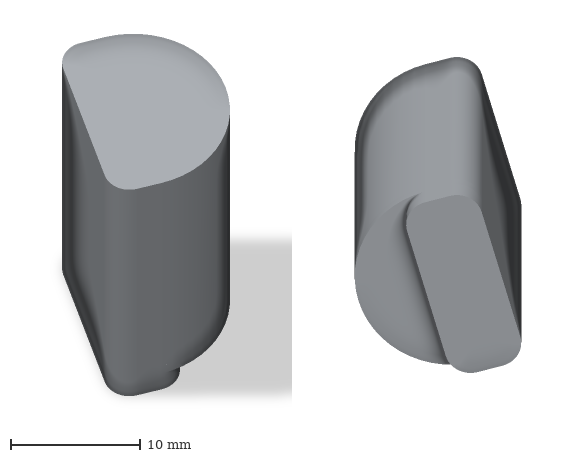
import cadquery as cq

total_height = 26.0
width = 15.0
depth = 11.5
corner_radius = 2.0

foot_height = 2.0
plate_thickness = 1.0
foot_depth = 6.0
housing_height = total_height - foot_height - plate_thickness

back_radius = width / 2
front_y = back_radius - depth


def d_shaped_prism(base_z, height):
    """Prism with a flat front, rounded front corners and a half-round back."""
    return (
        cq.Workplane("XY", origin=(0, 0, base_z))
        .moveTo(-back_radius, front_y)
        .lineTo(back_radius, front_y)
        .lineTo(back_radius, 0)
        .threePointArc((0, back_radius), (-back_radius, 0))
        .close()
        .extrude(height)
        .edges("|Z and <Y")
        .fillet(corner_radius)
    )


def make_foot():
    """Shallow block with four rounded corners, flush with the front face."""
    return (
        cq.Workplane("XY", origin=(0, front_y + foot_depth / 2, 0))
        .rect(width, foot_depth)
        .extrude(foot_height)
        .edges("|Z")
        .fillet(corner_radius)
    )


foot = make_foot()
plate = d_shaped_prism(foot_height, plate_thickness)
housing = d_shaped_prism(foot_height + plate_thickness, housing_height)

result = cq.Compound.makeCompound([foot.val(), plate.val(), housing.val()])